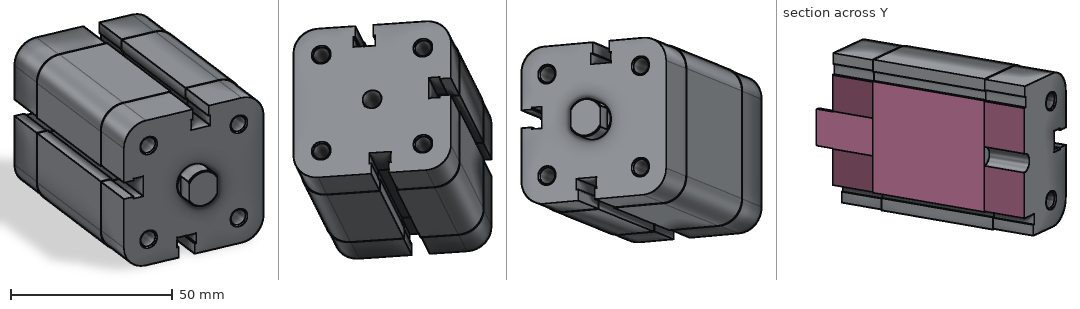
import cadquery as cq

total_length = 75.5
rod_projection = 6.0
cap_length = 14.5
body_length = total_length - rod_projection
barrel_length = body_length - 2 * cap_length
rear_face_x = -total_length / 2
barrel_rear_x = rear_face_x + cap_length
barrel_front_x = barrel_rear_x + barrel_length
front_face_x = barrel_front_x + cap_length

barrel_width = 50.0
barrel_corner_radius = 8.0
cap_inset = 0.205

slot_neck_width = 5.2
slot_base_width = 6.4
slot_neck_depth = 3.9
slot_depth = 6.95
slot_offset = 2.5
slot_side_angles = (0, 90, 180)

bolt_spacing = 32.0
bolt_hole_diameter = 5.1
bolt_chamfer = 0.45
centre_hole_diameter = 6.0

rod_diameter = 12.0
rod_chamfer = 0.3
wrench_size = 10.0
flat_start = 0.5
flat_end_radius = 15.1


def slot_cutter(inset, start_x, length):
    """One T-slot in the top side; an inset surface makes the slot wider and deeper."""
    top = barrel_width / 2
    neck_bottom = top - slot_neck_depth + inset
    floor = top - slot_depth - inset
    neck_width = slot_neck_width + 2 * inset
    base_width = slot_base_width + 2 * inset
    sketch_plane = cq.Workplane("YZ", origin=(start_x, 0, 0))
    neck = sketch_plane.center(slot_offset, (top + floor) / 2).rect(neck_width, top - floor).extrude(length)
    base_middle = (neck_bottom + floor) / 2
    base = sketch_plane.center(slot_offset, base_middle).rect(base_width, neck_bottom - floor).extrude(length)
    return neck.union(base)


def slotted_block(inset, start_x, length):
    """Rounded square length of the body with its T-slots and four bolt holes."""
    width = barrel_width - 2 * inset
    block = (
        cq.Workplane("YZ", origin=(start_x, 0, 0))
        .rect(width, width)
        .extrude(length)
        .edges("|X")
        .fillet(barrel_corner_radius - inset)
    )
    slot = slot_cutter(inset, start_x, length)
    for angle in slot_side_angles:
        block = block.cut(slot.rotate((0, 0, 0), (1, 0, 0), angle))
    return block.cut(bolt_cylinders(bolt_hole_diameter, start_x, length))


def bolt_cylinders(diameter, start_x, length):
    """Four cylinders along X at the bolt positions."""
    return (
        cq.Workplane("YZ", origin=(start_x, 0, 0))
        .rect(bolt_spacing, bolt_spacing, forConstruction=True)
        .vertices()
        .circle(diameter / 2)
        .extrude(length)
    )


def chamfer_bolt_holes(cap, outer_face):
    """Chamfer the bolt hole mouths, the smallest arcs in the outer face before any centre bore."""
    arcs = cap.faces(outer_face).edges("%CIRCLE")
    return arcs.edges(cq.selectors.RadiusNthSelector(0)).chamfer(bolt_chamfer)


def axial_cylinder(diameter, start_x, length):
    """Cylinder on the X axis."""
    return cq.Workplane("YZ", origin=(start_x, 0, 0)).circle(diameter / 2).extrude(length)


def make_barrel():
    return slotted_block(0, barrel_rear_x, barrel_length)


def make_rear_cap():
    """Cap with a centre hole and bolt holes chamfered at its rear face."""
    cap = slotted_block(cap_inset, rear_face_x, cap_length)
    cap = chamfer_bolt_holes(cap, "<X")
    return cap.cut(axial_cylinder(centre_hole_diameter, rear_face_x, cap_length))


def make_front_cap():
    """Cap with a bore for the rod and bolt holes chamfered at its front face."""
    cap = slotted_block(cap_inset, barrel_front_x, cap_length)
    cap = chamfer_bolt_holes(cap, ">X")
    return cap.cut(axial_cylinder(rod_diameter, barrel_front_x, cap_length))


def make_piston_rod():
    """Rod through the front cap, with a flat on the -Y and +Y sides of its end."""
    rod = axial_cylinder(rod_diameter, barrel_front_x, cap_length + rod_projection)
    rod = rod.faces(">X").edges().chamfer(rod_chamfer)
    cutter_centre_x = front_face_x + flat_start + flat_end_radius
    cutter = (
        cq.Workplane("XZ", origin=(cutter_centre_x, -wrench_size / 2, 0))
        .circle(flat_end_radius)
        .extrude(rod_diameter)
    )
    return rod.cut(cutter).cut(cutter.mirror("XZ"))


barrel = make_barrel()
rear_cap = make_rear_cap()
front_cap = make_front_cap()
piston_rod = make_piston_rod()

result = cq.Compound.makeCompound([barrel.val(), rear_cap.val(), front_cap.val(), piston_rod.val()])